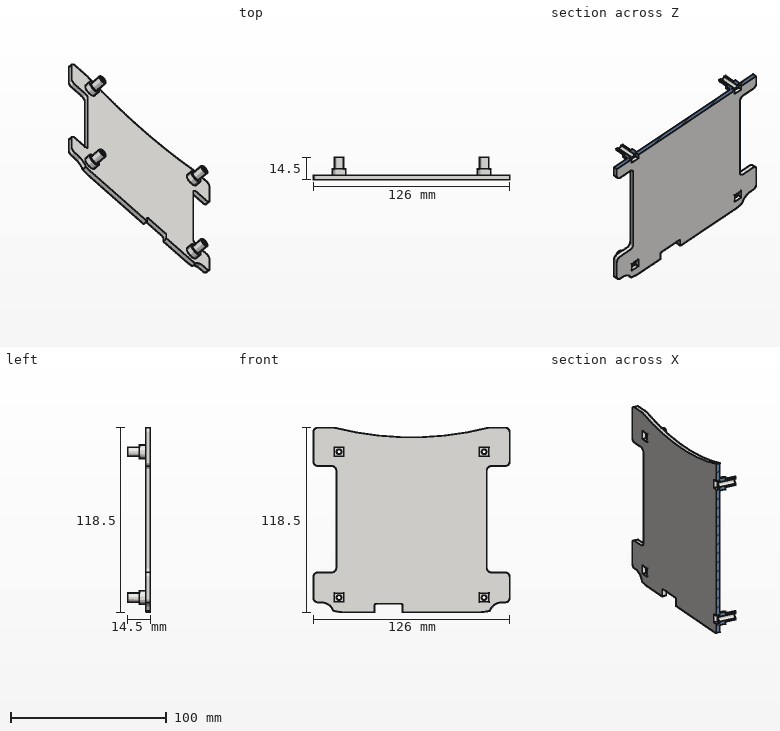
import cadquery as cq
import math

width = 126.0
height = 118.5
plate_thickness = 3.0
waist_width = 96.5
lower_arm_bottom = 6.35
lower_arm_top = 25.7
upper_arm_bottom = 93.8
corner_radius = 3.0

match_tolerance = 1e-3

hollow_width = 98.8
hollow_depth = 6.2

scoop_outer_x = 57.8
scoop_mid_x = 53.0
scoop_mid_z = 4.75
foot_x = 50.2
foot_z = 1.0
flat_bottom_x = 44.0
foot_curve_mid_x = 47.1
foot_curve_mid_z = 0.35

bottom_rise = 0.35

notch_left = -23.6
notch_width = 17.8
notch_height = 5.5
notch_corner_radius = 1.0

standoff_spacing_x = 93.0
standoff_spacing_z = 93.5
standoff_bottom_z = 9.5
collar_diameter = 8.8
collar_length = 4.0
post_diameter = 6.0
post_length = 7.5
bore_diameter = 3.0
pocket_width = 6.0
pocket_height = 5.6
pocket_depth = 2.5


def front_plane(y):
    """Plane parallel to the front face with local x = X and y = Z; negative extrusion runs toward +Y."""
    return cq.Workplane("XZ", origin=(0, y, 0))


def is_rounded_corner(edge, corner_x):
    """True for an edge at one of the given distances from the plate's mid-plane."""
    distance = abs(edge.Center().x)
    return any(math.isclose(distance, x, abs_tol=match_tolerance) for x in corner_x)


def make_plate():
    """Plate whose outline is the +X half and its mirror image."""
    half_width = width / 2
    half_waist = waist_width / 2
    half_hollow = hollow_width / 2
    hollow_radius = (half_hollow**2 + hollow_depth**2) / (2 * hollow_depth)
    hollow_mid_x = half_hollow / 2
    hollow_mid_z = height - hollow_depth + hollow_radius - math.sqrt(hollow_radius**2 - hollow_mid_x**2)
    plate = (
        front_plane(0)
        .moveTo(0, 0)
        .lineTo(flat_bottom_x, 0)
        .threePointArc((foot_curve_mid_x, foot_curve_mid_z), (foot_x, foot_z))
        .threePointArc((scoop_mid_x, scoop_mid_z), (scoop_outer_x, lower_arm_bottom))
        .lineTo(half_width, lower_arm_bottom)
        .lineTo(half_width, lower_arm_top)
        .lineTo(half_waist, lower_arm_top)
        .lineTo(half_waist, upper_arm_bottom)
        .lineTo(half_width, upper_arm_bottom)
        .lineTo(half_width, height)
        .lineTo(half_hollow, height)
        .threePointArc((hollow_mid_x, hollow_mid_z), (0, height - hollow_depth))
        .mirrorY()
        .extrude(-plate_thickness)
    )
    corner_x = {half_width, half_waist, half_hollow}
    corners = plate.edges("|Y").filter(lambda edge: is_rounded_corner(edge, corner_x))
    return corners.fillet(corner_radius)


def make_bottom_slope():
    """Wedge that tilts the bottom edge of the plate."""
    return (
        cq.Workplane("YZ", origin=(-width / 2, 0, 0))
        .polyline([(0, 0), (plate_thickness, 0), (plate_thickness, bottom_rise)])
        .close()
        .extrude(width)
    )


def make_notch():
    return (
        cq.Workplane("XY")
        .box(notch_width, plate_thickness, notch_height, centered=False)
        .edges("|Y and >Z")
        .fillet(notch_corner_radius)
        .translate((notch_left, 0, 0))
    )


def standoff_centers():
    return [
        (side * standoff_spacing_x / 2, standoff_bottom_z + row * standoff_spacing_z)
        for side in (-1, 1)
        for row in (0, 1)
    ]


def make_standoffs():
    centers = standoff_centers()
    collar_plane = front_plane(plate_thickness).pushPoints(centers)
    collars = collar_plane.circle(collar_diameter / 2).extrude(-collar_length)
    post_plane = front_plane(plate_thickness + collar_length).pushPoints(centers)
    posts = post_plane.circle(post_diameter / 2).extrude(-post_length)
    return collars.union(posts)


def make_bores_and_pockets():
    centers = standoff_centers()
    total_depth = plate_thickness + collar_length + post_length
    bores = front_plane(0).pushPoints(centers).circle(bore_diameter / 2).extrude(-total_depth)
    pockets = front_plane(0).pushPoints(centers).rect(pocket_width, pocket_height).extrude(-pocket_depth)
    return bores.union(pockets)


plate = make_plate().cut(make_bottom_slope()).cut(make_notch())
result = plate.union(make_standoffs()).cut(make_bores_and_pockets()).solids()